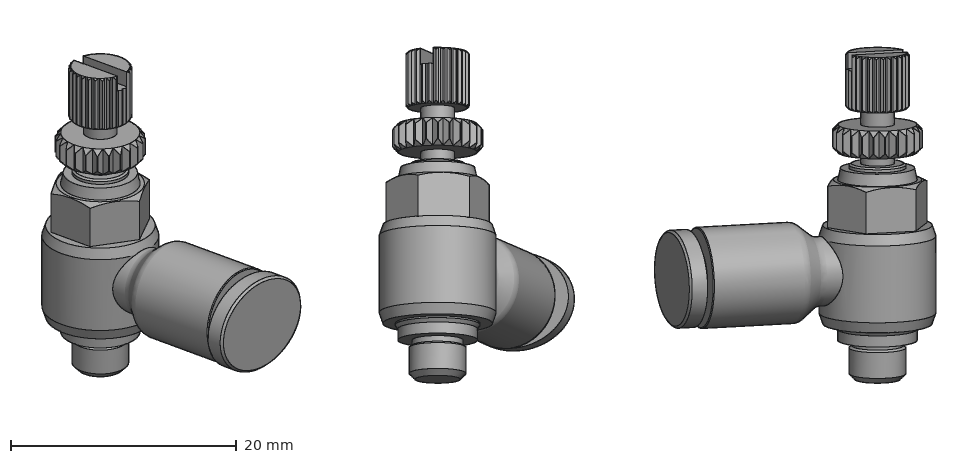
import cadquery as cq
import math

stud_chamfer_top = 0.53
stud_shoulder = 2.85
neck_bottom = 3.03
seat_bottom = 3.53
seat_taper_bottom = 4.55
seat_taper_top = 4.9
body_bottom = 5.05
body_height = 8.85
body_top = body_bottom + body_height
hex_top = 18.0
cone_top = 19.05
collar_chamfer_bottom = 19.32
collar_top = 19.47
ring_bottom = 20.47
ring_height = 2.5
knob_bottom = 24.45
overall_height = 29.45

stud_tip_radius = 2.0
stud_radius = 2.53
neck_radius = 2.27
seat_radius = 3.53
seat_rim_radius = 3.77
body_diameter = 10.4
body_radius = body_diameter / 2
body_face_radius = 4.85
body_chamfer_height = 0.97
cone_bottom_radius = 3.53
cone_top_radius = 3.3
collar_radius = 2.53
collar_face_radius = 2.33
stem_radius = 1.5

hex_across_flats = 8.0
hex_corner_radius = hex_across_flats / 2 / math.cos(math.radians(30))
hex_face_radius = 3.92
hex_chamfer_angle = 27.0

ring_tip_radius = 4.0
ring_root_radius = 3.5
ring_teeth = 24
ring_tip_land = 0.1
ring_root_land = 0
knob_tip_radius = 2.83
knob_root_radius = 2.62
knob_teeth = 28
knob_tip_land = 0
knob_root_land = 0.15
slot_width = 1.2
slot_depth = 1.45

overall_length = 24.3
arm_axis_height = 10.0
arm_neck_radius = 3.1
arm_radius = 4.5
arm_flare_start = 5.98
arm_flare_end = 7.77
arm_flare_fillet = 1.0
arm_end = 16.65
arm_end_chamfer = 0.1
sleeve_radius = 2.77
release_start = 17.45
release_end = overall_length - body_radius
release_width = 10.8
release_height = 8.65
release_chamfer = 0.2


def turned(profile):
    """Revolve (radius, height) points about Z, closing the outline on the axis."""
    outline = [(0, profile[0][1])] + profile + [(0, profile[-1][1])]
    return cq.Workplane("XZ").polyline(outline).close().revolve(360, (0, 0), (0, 1))


def knurled(tip_radius, root_radius, teeth, tip_land, root_land, bottom, height):
    """Vee-toothed disc whose tooth tips are chamfered at 45 degrees down to the roots.

    The lands are the widths of the flats on the tips and in the roots; zero makes them sharp.
    """
    pitch = 2 * math.pi / teeth
    corners = []
    for radius, middle_angle, land in ((root_radius, 0, root_land), (tip_radius, pitch / 2, tip_land)):
        half_land_angle = land / radius / 2
        if land > 0:
            corners.append((radius, middle_angle - half_land_angle))
        corners.append((radius, middle_angle + half_land_angle))
    points = []
    for tooth in range(teeth):
        for radius, offset_angle in corners:
            angle = tooth * pitch + offset_angle
            points.append((radius * math.cos(angle), radius * math.sin(angle)))
    star = cq.Workplane("XY").workplane(offset=bottom).polyline(points).close().extrude(height)
    chamfer = tip_radius - root_radius
    top = bottom + height
    envelope = turned([
        (root_radius, bottom),
        (tip_radius, bottom + chamfer),
        (tip_radius, top - chamfer),
        (root_radius, top),
    ])
    return star.intersect(envelope)


def make_body():
    """Threaded end, seat and round valve body."""
    return turned([
        (stud_tip_radius, 0),
        (stud_radius, stud_chamfer_top),
        (stud_radius, stud_shoulder),
        (neck_radius, neck_bottom),
        (neck_radius, seat_bottom),
        (seat_radius, seat_bottom),
        (seat_radius, seat_taper_bottom),
        (seat_rim_radius, seat_taper_top),
        (seat_rim_radius, body_bottom),
        (body_face_radius, body_bottom),
        (body_radius, body_bottom + body_chamfer_height),
        (body_radius, body_top - body_chamfer_height),
        (body_face_radius, body_top),
    ])


def make_hexagon():
    """Hexagon with corners on the X axis and its upper corners turned off conically."""
    prism = (
        cq.Workplane("XY").workplane(offset=body_top)
        .polygon(6, 2 * hex_corner_radius)
        .extrude(hex_top - body_top)
    )
    corner_drop = (hex_corner_radius - hex_face_radius) * math.tan(math.radians(hex_chamfer_angle))
    envelope = turned([
        (hex_corner_radius, body_top),
        (hex_corner_radius, hex_top - corner_drop),
        (hex_face_radius, hex_top),
    ])
    return prism.intersect(envelope)


def make_stem():
    """Tapered cap, small collar and the stem that carries the ring and the knob."""
    return turned([
        (cone_bottom_radius, hex_top),
        (cone_top_radius, cone_top),
        (collar_radius, cone_top),
        (collar_radius, collar_chamfer_bottom),
        (collar_face_radius, collar_top),
        (stem_radius, collar_top),
        (stem_radius, knob_bottom),
    ])


def make_knob():
    """Knurled knob with a screwdriver slot along X."""
    knob = knurled(
        knob_tip_radius, knob_root_radius, knob_teeth,
        knob_tip_land, knob_root_land,
        knob_bottom, overall_height - knob_bottom,
    )
    slot = (
        cq.Workplane("XY").workplane(offset=overall_height - slot_depth)
        .rect(3 * knob_tip_radius, slot_width)
        .extrude(slot_depth)
    )
    return knob.cut(slot)


def make_arm():
    """Side arm: turned neck, filleted flare and barrel, then a sleeve and an oval release ring."""
    barrel_outline = [
        (0, 0),
        (0, arm_neck_radius),
        (arm_flare_start, arm_neck_radius),
        (arm_flare_end, arm_radius),
        (arm_end - arm_end_chamfer, arm_radius),
        (arm_end, arm_radius - arm_end_chamfer),
        (arm_end, 0),
    ]
    barrel = cq.Workplane("XY").polyline(barrel_outline).close().revolve(360, (0, 0), (1, 0))
    reach = 2 * arm_radius
    half_window = (arm_flare_end - arm_flare_start) / 4
    for flare_edge_x in (arm_flare_start, arm_flare_end):
        near_edge = cq.selectors.BoxSelector(
            (flare_edge_x - half_window, -reach, -reach),
            (flare_edge_x + half_window, reach, reach),
        )
        barrel = barrel.edges("%CIRCLE").edges(near_edge).fillet(arm_flare_fillet)
    sleeve = (
        cq.Workplane("YZ").workplane(offset=arm_end)
        .circle(sleeve_radius)
        .extrude(release_start - arm_end)
    )
    release_ring = (
        cq.Workplane("YZ").workplane(offset=release_start)
        .ellipse(release_width / 2, release_height / 2)
        .extrude(release_end - release_start)
        .faces(">X").chamfer(release_chamfer)
    )
    return barrel.union(sleeve).union(release_ring).translate((0, 0, arm_axis_height))


lock_ring = knurled(
    ring_tip_radius, ring_root_radius, ring_teeth,
    ring_tip_land, ring_root_land,
    ring_bottom, ring_height,
)

result = (
    make_body()
    .union(make_hexagon())
    .union(make_stem())
    .union(lock_ring)
    .union(make_knob())
    .union(make_arm())
)